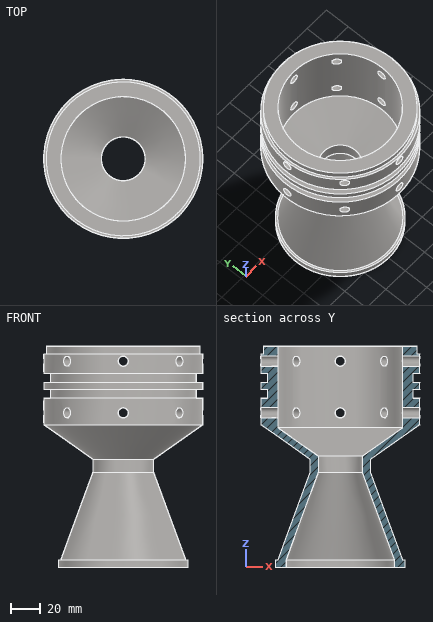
import cadquery as cq
import math

total_height = 152.62

rim_diameter = 106.1
body_diameter = 109.7
groove_diameter = 100.7
throat_outer_diameter = 42.0
nozzle_exit_diameter = 86.3
flange_diameter = 89.46

chamber_diameter = 85.7
throat_diameter = 30.0

rim_height = 5.4
upper_band_height = 13.6
groove_width = 5.95
land_width = 5.0
lower_band_height = 18.35
converging_height = 23.8
throat_length = 8.9
flange_height = 5.4
chamber_overrun = 2.0

hole_diameter = 6.75
holes_per_row = 8
upper_row_depth = 10.4
row_spacing = 35.6

rim_bottom = total_height - rim_height
upper_groove_top = rim_bottom - upper_band_height
land_top = upper_groove_top - groove_width
land_bottom = land_top - land_width
lower_groove_bottom = land_bottom - groove_width
body_bottom = lower_groove_bottom - lower_band_height
chamber_bottom = body_bottom - chamber_overrun
throat_top = body_bottom - converging_height
throat_bottom = throat_top - throat_length

converging_slope = converging_height / (body_diameter - throat_outer_diameter)
inner_throat_top = chamber_bottom - converging_slope * (chamber_diameter - throat_diameter)

throat_wall = (throat_outer_diameter - throat_diameter) / 2
nozzle_exit_bore = nozzle_exit_diameter - 2 * throat_wall


def revolve_profile(points):
    """Turn a closed (radius, height) outline about the Z axis."""
    return cq.Workplane("XZ").polyline(points).close().revolve(360, (0, 0, 0), (0, 1, 0))


def make_outer_body():
    """Solid chamber and nozzle, without grooves or passage."""
    return revolve_profile([
        (0, total_height),
        (rim_diameter / 2, total_height),
        (rim_diameter / 2, rim_bottom),
        (body_diameter / 2, rim_bottom),
        (body_diameter / 2, body_bottom),
        (throat_outer_diameter / 2, throat_top),
        (throat_outer_diameter / 2, throat_bottom),
        (nozzle_exit_diameter / 2, flange_height),
        (flange_diameter / 2, flange_height),
        (flange_diameter / 2, 0),
        (0, 0),
    ])


def make_passage():
    """Inner passage: chamber, converging cone, throat and diverging nozzle."""
    return revolve_profile([
        (0, total_height),
        (chamber_diameter / 2, total_height),
        (chamber_diameter / 2, chamber_bottom),
        (throat_diameter / 2, inner_throat_top),
        (throat_diameter / 2, throat_bottom),
        (nozzle_exit_bore / 2, flange_height),
        (nozzle_exit_bore / 2, 0),
        (0, 0),
    ])


def make_groove(bottom):
    """Ring cut from the body, with its lower side at the given height."""
    ring = cq.Workplane("XY").workplane(offset=bottom)
    return ring.circle(body_diameter / 2).circle(groove_diameter / 2).extrude(groove_width)


def make_hole_row(height):
    """Evenly spaced radial holes; each drill crosses the body and makes two."""
    row = cq.Workplane("XY")
    for index in range(holes_per_row // 2):
        angle = 2 * math.pi * index / holes_per_row
        direction = cq.Vector(math.cos(angle), math.sin(angle), 0)
        start = direction * (-body_diameter / 2) + cq.Vector(0, 0, height)
        row = row.add(cq.Solid.makeCylinder(hole_diameter / 2, body_diameter, start, direction))
    return row.combine()


result = make_outer_body().cut(make_passage())

for groove_bottom in (land_top, lower_groove_bottom):
    result = result.cut(make_groove(groove_bottom))

upper_row_height = total_height - upper_row_depth
for row_height in (upper_row_height, upper_row_height - row_spacing):
    result = result.cut(make_hole_row(row_height))